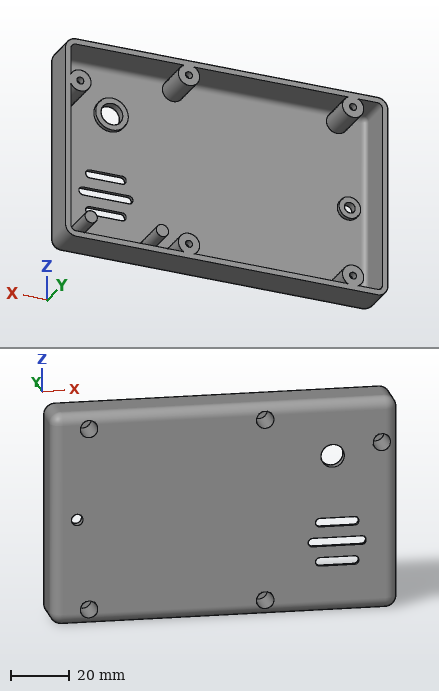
import cadquery as cq

length = 120
height = 75.0
depth = 15.0
corner_radius = 4.0
side_wall = 2.0
front_wall = 1.5
front_y = -depth / 2
back_y = depth / 2

post_wall = 1.0
screw_diameter = 2.5
counterbore_diameter = 6
post_diameter = counterbore_diameter + 2 * post_wall
seat_thickness = 3.0
screw_row_z = 32.0
screw_column_x = (-47.0, 14.0)
side_screw = (54.5, 22.0)
screw_points = [(x, z) for x in screw_column_x for z in (-screw_row_z, screw_row_z)] + [side_screw]

pin_diameter = 4.5
pin_overhang = 1.0
pin_z = -29.5
pin_points = [(x, pin_z) for x in (24.4, 50.9)]

button_point = (37.5, 18)
button_diameter = 8.0
collar_wall = 2.0
collar_depth = 3.0
lamp_point = (-51.1, 0)
lamp_diameter = 4.0

slot_height = 3.0
slot_x = 39.0
slot_middle_z = -12.5
slot_pitch = 7.0
slot_lengths = (15.0, 20.0, 15.0)


def rounded_block(size_x, size_y, size_z, radius):
    """Block centred on the axes, its corners along Y and its front rim rounded."""
    block = cq.Workplane("XY").box(size_x, size_y, size_z)
    return block.edges("|Y or <Y").fillet(radius)


def cylinders(points, diameter, start_y, end_y):
    """Cylinders along Y at the given (x, z) points."""
    plane = cq.Workplane("XZ", origin=(0, start_y, 0))
    return plane.pushPoints(points).circle(diameter / 2).extrude(start_y - end_y)


outer = rounded_block(length, depth, height, corner_radius)
cavity = rounded_block(
    length - 2 * side_wall,
    depth,
    height - 2 * side_wall,
    corner_radius - side_wall,
).translate((0, front_wall, 0))
shell = outer.cut(cavity)

collar_y = front_y + collar_depth
posts = cylinders(screw_points, post_diameter, front_y, back_y).intersect(outer)
button_collar = cylinders([button_point], button_diameter + 2 * collar_wall, front_y, collar_y)
lamp_collar = cylinders([lamp_point], lamp_diameter + 2 * collar_wall, front_y, collar_y)
pins = cylinders(pin_points, pin_diameter, front_y, back_y + pin_overhang)
result = shell
for addition in (posts, button_collar, lamp_collar, pins):
    result = result.union(addition)

result = result.cut(cylinders(screw_points, screw_diameter, front_y, back_y))
result = result.cut(cylinders(screw_points, counterbore_diameter, front_y, back_y - seat_thickness))
result = result.cut(cylinders([button_point], button_diameter, front_y, collar_y))
result = result.cut(cylinders([lamp_point], lamp_diameter, front_y, collar_y))

for row, slot_length in enumerate(slot_lengths):
    slot_z = slot_middle_z + (1 - row) * slot_pitch
    slot = (
        cq.Workplane("XZ", origin=(slot_x, front_y, slot_z))
        .slot2D(slot_length, slot_height)
        .extrude(-front_wall)
    )
    result = result.cut(slot)